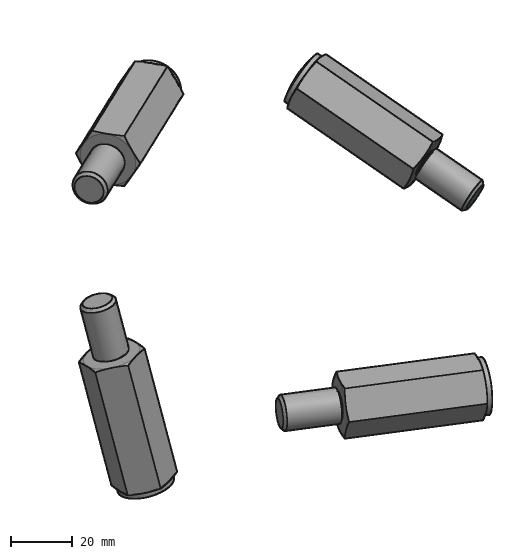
import cadquery as cq
import math

total_length = 70.0
stud_length = 20.0
across_flats = 19.0
across_corners = across_flats / math.cos(math.radians(30))

stud_radius = 12.0 / 2
neck_radius = 9.4 / 2
neck_length = 0.7
tip_chamfer = 1.05

dome_height = 1.3
cap_length = 1.7
cap_radius = across_flats / 2

corner_chamfer_angle = 15.0
hex_face_radius = 9.4

hex_start = stud_length
dome_start = total_length - dome_height
hex_end = dome_start - cap_length
corner_rise = across_corners / 2 - hex_face_radius
corner_chamfer_length = corner_rise * math.tan(math.radians(corner_chamfer_angle))


def revolve_about_y(profile):
    """Turn a closed (radius, axial station) profile about the Y axis."""
    return profile.close().revolve(360, (0, 0, 0), (0, 1, 0))


def make_hexagon():
    """Hexagonal bar with corners on the X axis, its corners chamfered by a cone at both ends."""
    bar = (
        cq.Workplane("XZ", origin=(0, hex_start, 0))
        .polygon(6, across_corners)
        .extrude(-(hex_end - hex_start))
    )
    envelope = revolve_about_y(
        cq.Workplane("XY")
        .moveTo(0, hex_start)
        .lineTo(hex_face_radius, hex_start)
        .lineTo(across_corners / 2, hex_start + corner_chamfer_length)
        .lineTo(across_corners / 2, hex_end - corner_chamfer_length)
        .lineTo(hex_face_radius, hex_end)
        .lineTo(0, hex_end)
    )
    return bar.intersect(envelope)


def make_stud():
    """Round stud with a chamfered tip and a narrower neck against the hexagon."""
    neck_start = hex_start - neck_length
    return revolve_about_y(
        cq.Workplane("XY")
        .lineTo(stud_radius - tip_chamfer, 0)
        .lineTo(stud_radius, tip_chamfer)
        .lineTo(stud_radius, neck_start)
        .lineTo(neck_radius, neck_start)
        .lineTo(neck_radius, hex_start)
        .lineTo(0, hex_start)
    )


def make_domed_cap():
    """Short round band closed by a shallow spherical dome."""
    dome_radius = (cap_radius**2 + dome_height**2) / (2 * dome_height)
    half_angle = math.asin(cap_radius / dome_radius) / 2
    dome_middle = (
        dome_radius * math.sin(half_angle),
        total_length - dome_radius * (1 - math.cos(half_angle)),
    )
    return revolve_about_y(
        cq.Workplane("XY")
        .moveTo(0, hex_end)
        .lineTo(cap_radius, hex_end)
        .lineTo(cap_radius, dome_start)
        .threePointArc(dome_middle, (0, total_length))
    )


result = make_hexagon().union(make_stud()).union(make_domed_cap())